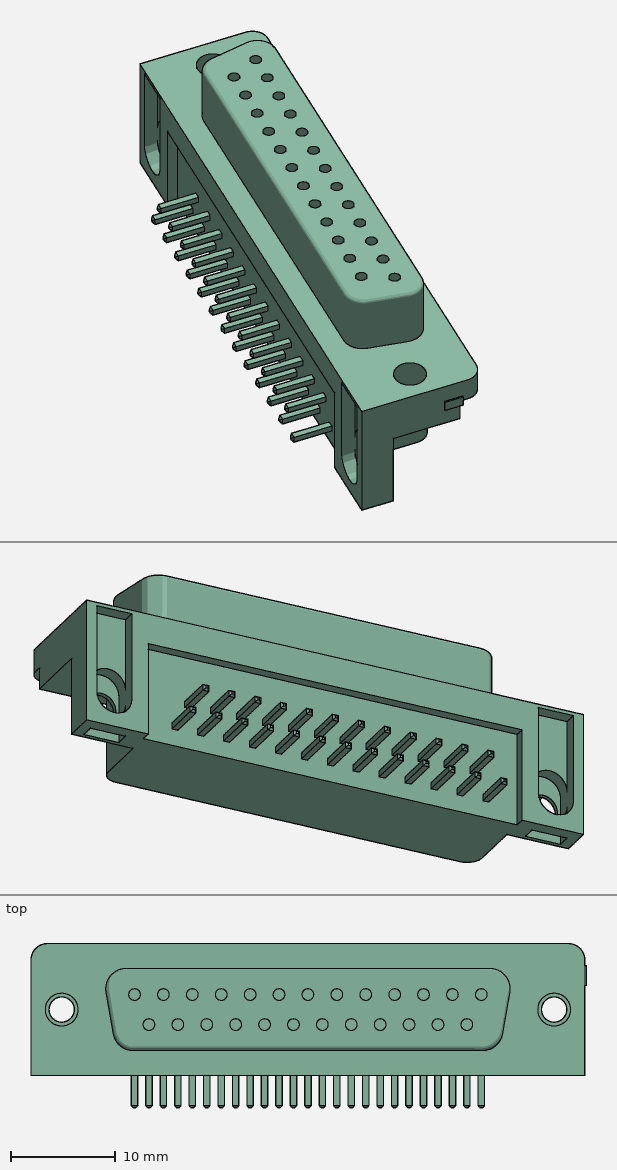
import cadquery as cq
import math


overall_length = 53.05
body_length = 52.9
overall_height = 19.1

flange_top = 12.95
flange_thickness = 2.5
flange_depth = 12.6
flange_corner_radius = 1.6
block_bottom = 8.15
body_depth = 10.25

plate_thickness = 3.3
housing_length = 39.8
housing_corner_radius = 1.6
recess_height = 9.75
recess_depth = 1.05

shell_front = 2.4
shell_rear_length = 39.35
shell_draft = 10.0
shell_corner_radius = 1.95
shell_edge_radius = 0.35

mount_spacing = 47.0
web_thickness = 0.5
top_hole_diameter = 2.4
top_counterbore_diameter = 3.15
front_hole_diameter = 3.1
front_hole_height = 3.35
slot_width = 3.7
slot_top = 12.55
slot_depth = 1.4
nut_pocket_top = 6.85

long_row_count = 13
short_row_count = long_row_count - 1
contact_pitch = 2.75
contact_row_spacing = 2.85
contact_diameter = 1.1
contact_depth = 5.3

pin_width = 0.65
pin_reach = 3.1
pin_tip_chamfer = 0.2
long_row_pin_height = 2.05
short_row_pin_height = 4.7

pad_depth = 1.9
pad_height = 1.05
pad_center_y = 9.55
pad_center_z = 10.5

shell_center_y = (shell_front + body_depth) / 2
mount_positions = [-mount_spacing / 2, mount_spacing / 2]


def block(length, y_min, y_max, z_min, z_max):
    """Box centred on X between the given Y and Z limits."""
    box = cq.Workplane("XY").box(length, y_max - y_min, z_max - z_min, centered=(True, False, False))
    return box.translate((0, y_min, z_min))


def row_positions(count):
    """X positions of one contact row, centred on the part."""
    return [(i - (count - 1) / 2) * contact_pitch for i in range(count)]


def make_body():
    flange = block(body_length, 0, flange_depth, flange_top - flange_thickness, flange_top)
    flange = flange.edges("|Z and >Y").fillet(flange_corner_radius)
    top_block = block(body_length, 0, body_depth, block_bottom, flange_top)
    plate = block(body_length, 0, plate_thickness, 0, flange_top)
    housing = block(housing_length, 0, body_depth, 0, flange_top)
    housing = housing.edges("|Z and >Y").fillet(housing_corner_radius)
    recess = block(housing_length, 0, recess_depth, 0, recess_height)
    return flange.union(top_block).union(plate).union(housing).cut(recess)


def make_shell():
    taper = (body_depth - shell_front) * math.tan(math.radians(shell_draft))
    rear_half = shell_rear_length / 2
    front_half = rear_half - taper
    outline = [
        (-rear_half, body_depth),
        (rear_half, body_depth),
        (front_half, shell_front),
        (-front_half, shell_front),
    ]
    shell = cq.Workplane("XY").workplane(offset=flange_top).polyline(outline).close()
    shell = shell.extrude(overall_height - flange_top)
    shell = shell.edges("|Z").fillet(shell_corner_radius)
    return shell.faces(">Z").edges().fillet(shell_edge_radius)


def make_contact_holes():
    rows = [
        (long_row_count, shell_center_y + contact_row_spacing / 2),
        (short_row_count, shell_center_y - contact_row_spacing / 2),
    ]
    points = [(x, y) for count, y in rows for x in row_positions(count)]
    holes = cq.Workplane("XY").workplane(offset=overall_height).pushPoints(points)
    return holes.circle(contact_diameter / 2).extrude(-contact_depth)


def make_top_mount_hole(x):
    hole = cq.Workplane("XY").center(x, shell_center_y).circle(top_hole_diameter / 2).extrude(flange_top)
    counterbore_floor = block_bottom + web_thickness
    counterbore = cq.Workplane("XY").workplane(offset=counterbore_floor).center(x, shell_center_y)
    counterbore = counterbore.circle(top_counterbore_diameter / 2).extrude(flange_top - counterbore_floor)
    return hole.union(counterbore)


def make_front_mount_cuts(x):
    """Cuts for the open slot in the front face, the nut pocket behind it and the through hole."""
    front = cq.Workplane("XZ").center(x, front_hole_height)
    hole = front.circle(front_hole_diameter / 2).extrude(-plate_thickness)
    slot_end = front.circle(slot_width / 2).extrude(-slot_depth)
    slot = block(slot_width, 0, slot_depth, front_hole_height, slot_top).translate((x, 0, 0))
    pocket_floor = plate_thickness - web_thickness
    half_width = slot_width / 2
    arch_height = nut_pocket_top - half_width
    pocket = (
        cq.Workplane("XZ", origin=(x, slot_depth, 0))
        .moveTo(-half_width, 0)
        .lineTo(-half_width, arch_height)
        .threePointArc((0, nut_pocket_top), (half_width, arch_height))
        .lineTo(half_width, 0)
        .close()
        .extrude(slot_depth - pocket_floor)
    )
    return [slot_end, slot, pocket, hole]


def make_pin(x, z):
    pin = block(pin_width, -pin_reach, recess_depth, -pin_width / 2, pin_width / 2)
    pin = pin.faces("<Y").edges().chamfer(pin_tip_chamfer)
    return pin.translate((x, 0, z))


def make_end_pad():
    pad_thickness = overall_length - body_length
    pad = cq.Workplane("XY").box(pad_thickness, pad_depth, pad_height, centered=(False, True, True))
    return pad.translate((body_length / 2, pad_center_y, pad_center_z))


result = make_body().union(make_shell()).union(make_end_pad())
result = result.cut(make_contact_holes())

for mount_x in mount_positions:
    result = result.cut(make_top_mount_hole(mount_x))
    for mount_cut in make_front_mount_cuts(mount_x):
        result = result.cut(mount_cut)

for row_count, pin_z in [(long_row_count, long_row_pin_height), (short_row_count, short_row_pin_height)]:
    for pin_x in row_positions(row_count):
        result = result.union(make_pin(pin_x, pin_z))